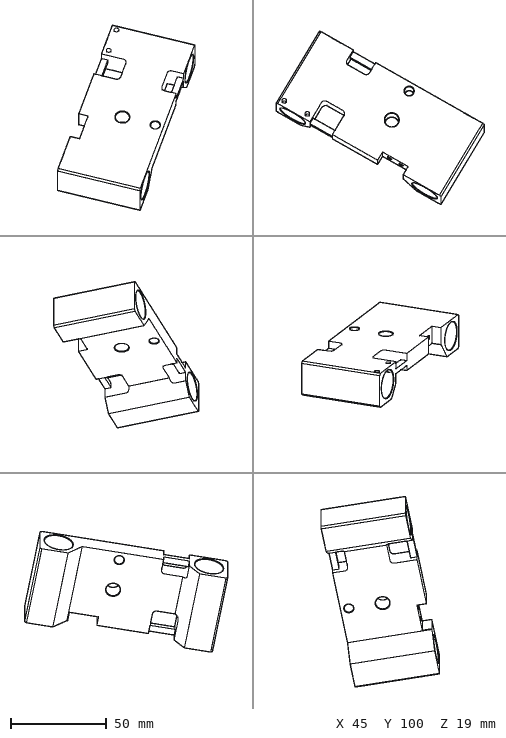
import cadquery as cq

WIDTH = 45.0
LENGTH = 100.0
HEIGHT = 19.0
HALF_WIDTH = WIDTH / 2
HALF_LENGTH = LENGTH / 2
EDGE_CHAMFER = 1.0

WEB_THICKNESS = 9.6
BLOCK_FOOT_LENGTH = 15.0
BLOCK_ROOT_LENGTH = 22.5

BORE_DIAMETER = 15.0
BORE_END_DISTANCE = 10.0
BORE_DEPTH = 9.0
BORE_Y = HALF_LENGTH - BORE_END_DISTANCE
HOLE_CHAMFER = 0.3

POCKET_LENGTH = 13.6
POCKET_CENTER_Y = 22.7
LEFT_POCKET_DEPTH = 14.0
RIGHT_POCKET_DEPTH = 8.4
POCKET_RADIUS = 2.0
BAR_WIDTH = 3.5
BAR_TOP_DEPTH = 4.0
BAR_THICKNESS = 2.8

NOTCH_CENTER_Y = -19.3
NOTCH_LENGTH = 15.5
NOTCH_DEPTH = 5.1
NOTCH_HOLE_SPACING = 7.0
NOTCH_HOLE_Z = -5.0
NOTCH_HOLE_DEPTH = 10.0

CENTER_HOLE_DIAMETER = 7.3
SIDE_HOLE_DIAMETER = 4.8
SIDE_HOLE_X = 18.0
THROUGH_HOLE_Y = -7.0

SMALL_HOLE_DIAMETER = 2.5
CLAMP_HOLE_CENTER_Y = 39.8
CLAMP_HOLE_SPACING = 14.0
CLAMP_HOLE_SIDE_DISTANCE = 3.0
CLAMP_HOLE_DEPTH = 5.0


def make_body():
    """Bridge-shaped side profile extruded across the full width."""
    foot_y = HALF_LENGTH - BLOCK_FOOT_LENGTH
    root_y = HALF_LENGTH - BLOCK_ROOT_LENGTH
    profile = [
        (-HALF_LENGTH, 0),
        (HALF_LENGTH, 0),
        (HALF_LENGTH, -HEIGHT),
        (foot_y, -HEIGHT),
        (root_y, -WEB_THICKNESS),
        (-root_y, -WEB_THICKNESS),
        (-foot_y, -HEIGHT),
        (-HALF_LENGTH, -HEIGHT),
    ]
    body = cq.Workplane("YZ").polyline(profile).close().extrude(HALF_WIDTH, both=True)
    outer_corners = body.faces("<Y or >Y").edges("|X")
    return outer_corners.chamfer(EDGE_CHAMFER)


def chamfered_hole(start, direction, diameter, length):
    """Cutter for a through hole with a small chamfer at both ends."""
    radius = diameter / 2
    rim_radius = radius + HOLE_CHAMFER
    end = start + direction * length
    hole = cq.Solid.makeCylinder(radius, length, start, direction)
    entry = cq.Solid.makeCone(rim_radius, radius, HOLE_CHAMFER, start, direction)
    exit_rim = cq.Solid.makeCone(rim_radius, radius, HOLE_CHAMFER, end, direction * -1)
    return hole.fuse(entry, exit_rim)


def pocket(side, depth):
    """Cutter for a pocket open at one side (-1 left, 1 right), leaving its bar."""
    side_x = side * HALF_WIDTH
    center_x = side_x - side * depth / 2
    opening = (
        cq.Workplane("XY")
        .center(center_x, POCKET_CENTER_Y)
        .rect(depth, POCKET_LENGTH)
        .extrude(-HEIGHT)
    )
    inner_face = ">X" if side < 0 else "<X"
    opening = opening.faces(inner_face).edges("|Z").fillet(POCKET_RADIUS)
    bar_center = (
        side_x - side * BAR_WIDTH / 2,
        POCKET_CENTER_Y,
        -BAR_TOP_DEPTH - BAR_THICKNESS / 2,
    )
    bar = cq.Workplane("XY").box(BAR_WIDTH, POCKET_LENGTH, BAR_THICKNESS).translate(bar_center)
    return opening.cut(bar)


result = make_body()

result = result.cut(pocket(-1, LEFT_POCKET_DEPTH))
result = result.cut(pocket(1, RIGHT_POCKET_DEPTH))
notch_center = (-HALF_WIDTH + NOTCH_DEPTH / 2, NOTCH_CENTER_Y, -HEIGHT / 2)
notch = cq.Workplane("XY").box(NOTCH_DEPTH, NOTCH_LENGTH, HEIGHT).translate(notch_center)
result = result.cut(notch)

for bore_y in (-BORE_Y, BORE_Y):
    bore_start = cq.Vector(-HALF_WIDTH, bore_y, -BORE_DEPTH)
    result = result.cut(chamfered_hole(bore_start, cq.Vector(1, 0, 0), BORE_DIAMETER, WIDTH))

for hole_x, diameter in ((0, CENTER_HOLE_DIAMETER), (SIDE_HOLE_X, SIDE_HOLE_DIAMETER)):
    hole_start = cq.Vector(hole_x, THROUGH_HOLE_Y, 0)
    result = result.cut(chamfered_hole(hole_start, cq.Vector(0, 0, -1), diameter, WEB_THICKNESS))

for pair_side in (-1, 1):
    clamp_start = cq.Vector(
        -HALF_WIDTH + CLAMP_HOLE_SIDE_DISTANCE,
        CLAMP_HOLE_CENTER_Y + pair_side * CLAMP_HOLE_SPACING / 2,
        0,
    )
    notch_start = cq.Vector(
        -HALF_WIDTH + NOTCH_DEPTH,
        NOTCH_CENTER_Y + pair_side * NOTCH_HOLE_SPACING / 2,
        NOTCH_HOLE_Z,
    )
    small_radius = SMALL_HOLE_DIAMETER / 2
    result = result.cut(
        cq.Solid.makeCylinder(small_radius, CLAMP_HOLE_DEPTH, clamp_start, cq.Vector(0, 0, -1))
    )
    result = result.cut(
        cq.Solid.makeCylinder(small_radius, NOTCH_HOLE_DEPTH, notch_start, cq.Vector(1, 0, 0))
    )